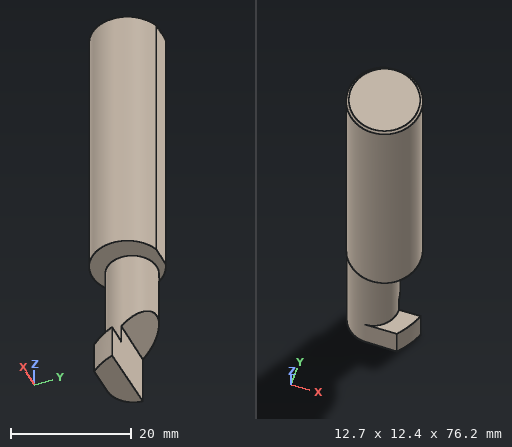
import cadquery as cq
import math

total_length = 76.2
shank_diameter = 12.7
shank_length = 50.8
end_bevel_height = 0.3
end_bevel_width = 0.45
shank_flat_depth = 0.3

neck_diameter = 8.9
flat_runout_start = 9.8

head_height = 6.4
heel_x = 3.65
relief_radius = 15.25
end_relief_x = 2.0
end_relief_y = 3.0

shank_radius = shank_diameter / 2
neck_radius = neck_diameter / 2
neck_x = neck_radius - shank_radius
shoulder_z = total_length - shank_length


def make_shank():
    """Round shank with a bevelled top end and a full-length flat on its +Y side."""
    bevel_start = total_length - end_bevel_height
    shank = (
        cq.Workplane("XZ")
        .moveTo(0, shoulder_z)
        .lineTo(shank_radius, shoulder_z)
        .lineTo(shank_radius, bevel_start)
        .lineTo(shank_radius - end_bevel_width, total_length)
        .lineTo(0, total_length)
        .close()
        .revolve(360, (0, 0, 0), (0, 1, 0))
    )
    flat_waste = cq.Workplane("XY").box(
        shank_diameter, shank_flat_depth, total_length, centered=(True, False, False)
    )
    return shank.cut(flat_waste.translate((0, shank_radius - shank_flat_depth, 0)))


def make_neck():
    """Round neck cut to its centre plane, with a 45 degree runout."""
    neck = cq.Workplane("XY").center(neck_x, 0).circle(neck_radius).extrude(shoulder_z)
    runout_end = flat_runout_start + shank_radius
    waste = (
        cq.Workplane("YZ")
        .polyline([(0, 0), (shank_radius, 0), (shank_radius, runout_end), (0, flat_runout_start)])
        .close()
        .extrude(shank_radius, both=True)
    )
    return neck.cut(waste)


def make_head():
    """Cutting head: straight side tangent to the neck, then an arc to the tip."""
    return (
        cq.Workplane("XY")
        .moveTo(neck_x, 0)
        .lineTo(neck_x, -neck_radius)
        .lineTo(heel_x, -neck_radius)
        .radiusArc((shank_radius, 0), -relief_radius)
        .close()
        .extrude(head_height)
    )


def make_end_relief():
    """Wedge below the tilted end face, which is lowest at the cutting tip."""
    slope_x = math.tan(math.radians(end_relief_x))
    slope_y = math.tan(math.radians(end_relief_y))
    wedge_depth = shank_diameter
    wedge_width = 4 * shank_diameter
    end_plane = cq.Plane(
        origin=(shank_radius, 0, 0), xDir=(1, 0, -slope_x), normal=(slope_x, slope_y, 1)
    )
    return cq.Workplane(end_plane).rect(wedge_width, wedge_width).extrude(-wedge_depth)


result = make_shank().union(make_neck()).union(make_head()).cut(make_end_relief())